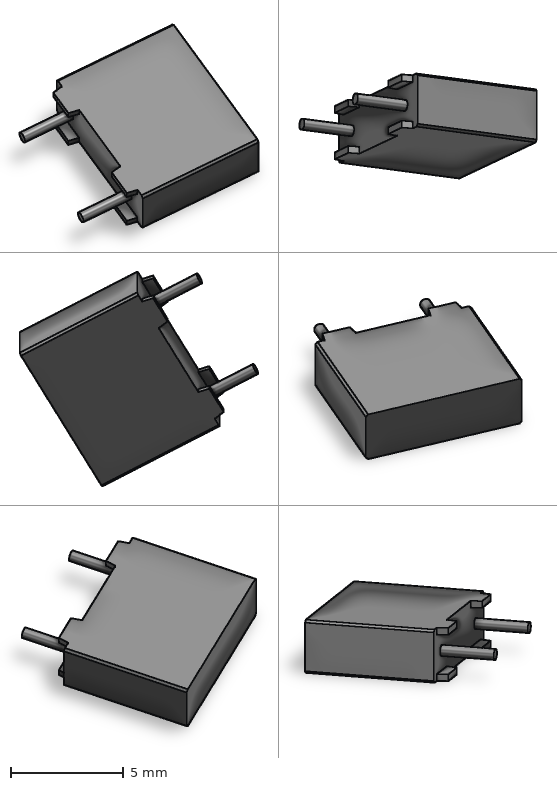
import cadquery as cq

case_width = 7.5
case_height = 2.45
total_length = 8.5
lead_length = 2.5
case_length = total_length - lead_length
edge_chamfer = 0.11

lead_diameter = 0.5
lead_spacing = 5.08
lead_positions = (-lead_spacing / 2, lead_spacing / 2)

foot_base_width = 1.5
foot_tip_width = 1.31
foot_length = 0.5
foot_thickness = 0.315


def make_foot(center_x, bottom_z):
    """Trapezoidal foot standing on the lead face."""
    half_base = foot_base_width / 2
    half_tip = foot_tip_width / 2
    return (
        cq.Workplane("XY", origin=(center_x, 0, bottom_z))
        .moveTo(-half_base, 0)
        .lineTo(-half_tip, -foot_length)
        .lineTo(half_tip, -foot_length)
        .lineTo(half_base, 0)
        .close()
        .extrude(foot_thickness)
    )


def make_case():
    """Block with chamfered long edges and a foot above and below each lead."""
    case = (
        cq.Workplane("XY")
        .box(case_width, case_length, case_height, centered=(True, False, True))
        .edges("|Y")
        .chamfer(edge_chamfer)
    )
    bottom_foot_z = -case_height / 2
    top_foot_z = case_height / 2 - foot_thickness
    for center_x in lead_positions:
        for bottom_z in (bottom_foot_z, top_foot_z):
            case = case.union(make_foot(center_x, bottom_z))
    return case


def make_lead(center_x):
    """Round lead that starts on the lead face and points toward -Y."""
    return (
        cq.Workplane("XZ", origin=(center_x, 0, 0))
        .circle(lead_diameter / 2)
        .extrude(lead_length)
    )


case = make_case()
leads = [make_lead(center_x) for center_x in lead_positions]

result = cq.Compound.makeCompound([case.val(), *[lead.val() for lead in leads]])